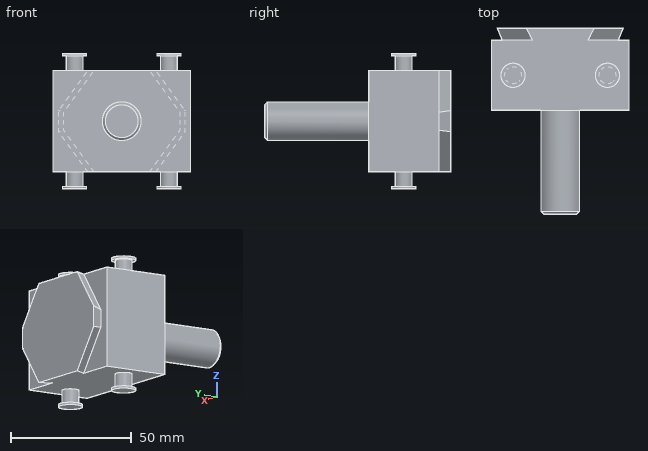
import cadquery as cq
import math

block_width = 57.0
block_depth = 29.0
block_height = 42.0

total_depth = 77.0
plate_depth = 5.0
shaft_length = total_depth - block_depth - plate_depth
shaft_diameter = 16.0
shaft_chamfer = 1.2

total_height = 56.0
pin_length = (total_height - block_height) / 2
pin_spacing = 39.05
pin_diameter = 7.0
head_diameter = 10.0
head_thickness = 1.0

plate_width = 52.2
plate_side_height = 8.8
plate_corner_angle = 54.0
plate_taper = 22.5


def make_block():
    return cq.Workplane("XY").box(block_width, block_depth, block_height).translate((0, block_depth / 2, 0))


def make_shaft():
    shaft = cq.Workplane("XZ").circle(shaft_diameter / 2).extrude(shaft_length)
    return shaft.faces("<Y").chamfer(shaft_chamfer)


def make_pins():
    """Two pins standing on the top face, midway along the block's depth."""
    positions = [(-pin_spacing / 2, block_depth / 2), (pin_spacing / 2, block_depth / 2)]
    shanks = (
        cq.Workplane("XY", origin=(0, 0, block_height / 2))
        .pushPoints(positions)
        .circle(pin_diameter / 2)
        .extrude(pin_length)
    )
    heads = (
        cq.Workplane("XY", origin=(0, 0, total_height / 2))
        .pushPoints(positions)
        .circle(head_diameter / 2)
        .extrude(-head_thickness)
    )
    return shanks.union(heads)


def make_dovetail_plate():
    """Tapered hexagon whose peaks are cut flush with the block's top and bottom."""
    half_width = plate_width / 2
    half_side = plate_side_height / 2
    peak = half_side + half_width * math.tan(math.radians(plate_corner_angle))
    outline = [
        (half_width, -half_side),
        (half_width, half_side),
        (0, peak),
        (-half_width, half_side),
        (-half_width, -half_side),
        (0, -peak),
    ]
    back = block_depth + plate_depth
    hexagon = (
        cq.Workplane("XZ", origin=(0, back, 0))
        .polyline(outline)
        .close()
        .extrude(plate_depth, taper=plate_taper)
    )
    flush_limit = (
        cq.Workplane("XZ", origin=(0, back, 0)).rect(block_width, block_height).extrude(plate_depth)
    )
    return hexagon.intersect(flush_limit)


top_pins = make_pins()
bottom_pins = top_pins.mirror("XY")

result = (
    make_block()
    .union(make_shaft())
    .union(top_pins)
    .union(bottom_pins)
    .union(make_dovetail_plate())
)